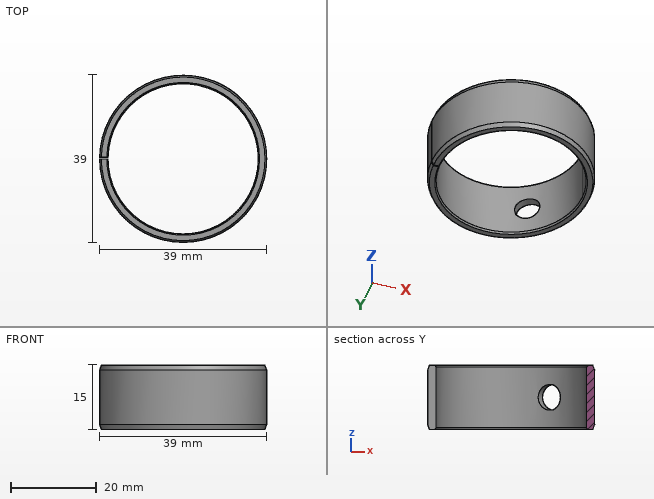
import cadquery as cq

outer_diameter = 39.0
bore_diameter = 35.0
height = 15.0

outer_chamfer_height = 1.17
outer_chamfer_depth = 0.43
bore_chamfer_height = 0.43
bore_chamfer_depth = 0.3

split_width = 0.3

hole_diameter = 6.0
hole_angle = 59.0

outer_radius = outer_diameter / 2
bore_radius = bore_diameter / 2
half_height = height / 2


def make_ring():
    """Revolve the chamfered wall section about Z, centred on the origin."""
    outer_edge_z = half_height - outer_chamfer_height
    bore_edge_z = half_height - bore_chamfer_height
    rim_outer_radius = outer_radius - outer_chamfer_depth
    rim_inner_radius = bore_radius + bore_chamfer_depth
    section = [
        (rim_inner_radius, -half_height),
        (rim_outer_radius, -half_height),
        (outer_radius, -outer_edge_z),
        (outer_radius, outer_edge_z),
        (rim_outer_radius, half_height),
        (rim_inner_radius, half_height),
        (bore_radius, bore_edge_z),
        (bore_radius, -bore_edge_z),
    ]
    return cq.Workplane("XZ").polyline(section).close().revolve(360, (0, 0, 0), (0, 1, 0))


def make_split():
    """Thin full-height slab that opens the ring on the -X side."""
    return cq.Workplane("XY").box(
        outer_radius, split_width, height, centered=(True, False, True)
    ).translate((-outer_radius, 0, 0))


def make_hole():
    """Cylinder from the axis outwards, crossing the wall only once."""
    cylinder = cq.Workplane("YZ").circle(hole_diameter / 2).extrude(outer_diameter)
    return cylinder.rotate((0, 0, 0), (0, 0, 1), hole_angle)


result = make_ring().cut(make_split()).cut(make_hole())